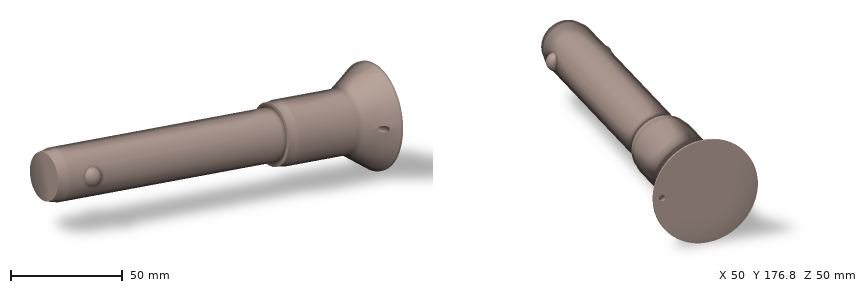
import cadquery as cq

length = 176.8
flange_radius = 50.0 / 2
sleeve_radius = 30.4 / 2
collar_radius = 29.3 / 2
shaft_radius = 25.0 / 2
tip_radius = 22.6 / 2

rim_thickness = 1.0
cone_end = 15.7
sleeve_start = 17.9
sleeve_taper_start = 49.9
sleeve_end = 52.9
collar_end = 54.6
tip_taper_length = 5.3

flare_end_radius = 16.0

ball_radius = 4.5
ball_reach = 15.5
ball_distance = 159.0
lanyard_hole_diameter = 3.0
lanyard_hole_offset = 20.9


def make_body():
    """Revolve the stepped half profile about the pin axis."""
    profile = (
        cq.Workplane("XY")
        .moveTo(0, 0)
        .lineTo(flange_radius, 0)
        .lineTo(flange_radius, -rim_thickness)
        .lineTo(flare_end_radius, -cone_end)
        .tangentArcPoint((sleeve_radius, -sleeve_start), relative=False)
        .lineTo(sleeve_radius, -sleeve_taper_start)
        .lineTo(collar_radius, -sleeve_end)
        .lineTo(collar_radius, -collar_end)
        .lineTo(shaft_radius, -collar_end)
        .lineTo(shaft_radius, -(length - tip_taper_length))
        .lineTo(tip_radius, -length)
        .lineTo(0, -length)
        .close()
    )
    return profile.revolve(360, (0, 0, 0), (0, 1, 0))


def make_ball(side):
    """Locking ball on the +X (side = 1) or -X (side = -1) flank of the shaft."""
    center_x = side * (ball_reach - ball_radius)
    return cq.Workplane("XY").sphere(ball_radius).translate((center_x, -ball_distance, 0))


def make_lanyard_hole():
    """Cutter running through the flange, parallel to the pin axis."""
    return (
        cq.Workplane("XZ")
        .center(lanyard_hole_offset, 0)
        .circle(lanyard_hole_diameter / 2)
        .extrude(cone_end)
    )


result = make_body()
for side in (-1, 1):
    result = result.union(make_ball(side))
result = result.cut(make_lanyard_hole())